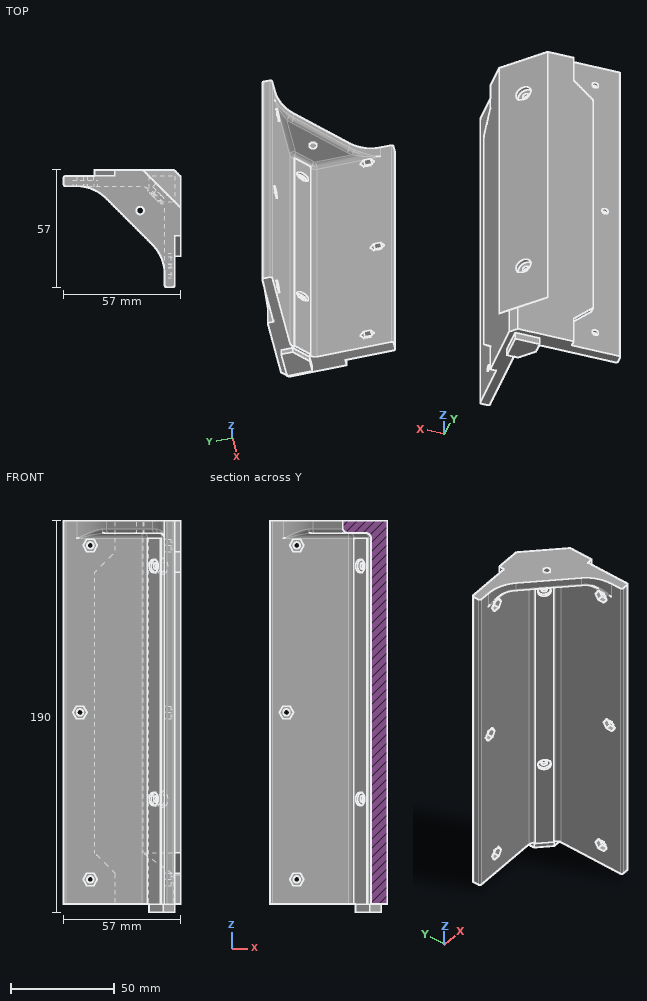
import cadquery as cq
import math


LEG_SPAN = 57.0
BODY_HEIGHT = 186.0
SPIGOT_HEIGHT = 4.0

PAD_THICKNESS = 3.0
LEG_THICKNESS = 5.0
LEG_INNER = PAD_THICKNESS + LEG_THICKNESS
LEG_END_RADIUS = 1.0
CORNER_CHAMFER = 3.4

PAD_WIDTH = 32.0
PAD_WIDENING = 10.0
PAD_END_GAP = 15.0

INNER_DIAGONAL = 25.4
INNER_RADIUS = 3.8
STRIP_DIAGONAL = 26.4
STRIP_WIDTH = 9.0

WEB_THICKNESS = 6.0
WEB_DIAGONAL = 50.2
WEB_END_RADIUS = 20.0
WEB_FILLET = 2.6
WEB_RIM_RADIUS = 2.0
WEB_HOLE_DIAMETER = 3.6
WEB_HOLE_OFFSET = 19.8

CHANNEL_DIAGONAL = 18.6
CHANNEL_FLOOR_TOP = 25.0

SPIGOT_OUTER = 3.0
SPIGOT_INNER = 15.6
SPIGOT_DIAGONAL = 24.3

SCREW_DIAMETER = 3.1
STRIP_SCREW_HEIGHTS = (51.0, 164.0)
STRIP_COUNTERBORE_DIAMETER = 6.4
STRIP_COUNTERBORE_DEPTH = 1.4
STRIP_SCREW_SEAT = 1.75
STRIP_OUTER_BORE_DIAMETER = 8.0
NUT_FLATS = 6.0
NUT_DEPTH = 3.0
LEG_SCREW_END_GAP = 12.0
LEG_SCREW_OFFSET = 44.0
LEG_SCREW_MIDDLE_OFFSET = 49.0

HALF_DIAGONAL = math.sqrt(0.5)
OUTWARD = cq.Vector(HALF_DIAGONAL, HALF_DIAGONAL, 0)
WEB_UNDERSIDE = BODY_HEIGHT - WEB_THICKNESS
TOLERANCE = 0.1
BEYOND = 10.0


def both_legs(shape):
    """Join a shape with its mirror image about the plane X = Y."""
    other_leg = shape.rotate((0, 0, 0), (0, 0, 1), 90).mirror("YZ")
    return shape.union(other_leg)


def prism(points, bottom, top):
    """Upright prism on a closed outline in X and Y."""
    return cq.Workplane("XY", origin=(0, 0, bottom)).polyline(points).close().extrude(top - bottom)


def corner_triangle(diagonal, bottom, top):
    """Right-angled prism filling the outer corner out to a diagonal face."""
    return prism([(0, 0), (-diagonal, 0), (0, -diagonal)], bottom, top)


def leg():
    """Plate of the leg along X, with its free end rounded."""
    middle = -(PAD_THICKNESS + LEG_THICKNESS / 2)
    plate = cq.Workplane("XY").box(LEG_SPAN, LEG_THICKNESS, BODY_HEIGHT, centered=(False, True, False))
    plate = plate.translate((-LEG_SPAN, middle, 0))
    return plate.edges("|Z and <X").fillet(LEG_END_RADIUS)


def pad():
    """Outer thickening of one leg, widened between two 45 degree shoulders."""
    wide = PAD_WIDTH + PAD_WIDENING
    low = PAD_END_GAP
    high = BODY_HEIGHT - PAD_END_GAP
    outline = [
        (0, 0),
        (-PAD_WIDTH, 0),
        (-PAD_WIDTH, low),
        (-wide, low + PAD_WIDENING),
        (-wide, high - PAD_WIDENING),
        (-PAD_WIDTH, high),
        (-PAD_WIDTH, BODY_HEIGHT),
        (0, BODY_HEIGHT),
    ]
    return cq.Workplane("XZ").polyline(outline).close().extrude(PAD_THICKNESS)


def web_arc_point(angle):
    """Point on the arc joining the web's diagonal edge to the leg along X, by angle turned from the leg."""
    arc_start = WEB_DIAGONAL - LEG_INNER + WEB_END_RADIUS * math.tan(math.radians(45 / 2))
    run = WEB_END_RADIUS * math.sin(math.radians(angle))
    rise = WEB_END_RADIUS * (1 - math.cos(math.radians(angle)))
    return (run - arc_start, -LEG_INNER - rise)


def web_block():
    """Solid corner block reaching down from the top, bounded by the web's curved edge."""
    depth = WEB_THICKNESS + WEB_FILLET
    start, middle, end = [web_arc_point(angle) for angle in (0, 45 / 2, 45)]
    outline = (
        cq.Workplane("XY", origin=(0, 0, BODY_HEIGHT - depth))
        .moveTo(-PAD_THICKNESS, -PAD_THICKNESS)
        .lineTo(start[0], -PAD_THICKNESS)
        .lineTo(*start)
        .threePointArc(middle, end)
        .lineTo(*reversed(end))
        .threePointArc(tuple(reversed(middle)), tuple(reversed(start)))
        .lineTo(-PAD_THICKNESS, start[0])
        .close()
    )
    return outline.extrude(depth)


def cavity():
    """Space between the legs below the web, rounded where it meets the web and the corner."""
    middle = -LEG_INNER - LEG_SPAN / 2
    space = cq.Workplane("XY").box(LEG_SPAN, LEG_SPAN, WEB_UNDERSIDE + BEYOND)
    space = space.translate((middle, middle, (WEB_UNDERSIDE - BEYOND) / 2))
    space = space.edges("|Z and >(1, 1, 0)").chamfer(INNER_DIAGONAL - 2 * LEG_INNER)
    space = space.faces(">(1, 1, 0)").edges("|Z").fillet(INNER_RADIUS)
    return space.faces(">Z").edges("not(<X or <Y)").fillet(WEB_FILLET)


def round_web_rim(body):
    """Round the lower edge of the web along its diagonal edge and both arcs."""
    rim = []
    for edge in body.edges().vals():
        middle = edge.Center()
        below_web = WEB_UNDERSIDE - WEB_FILLET + TOLERANCE < middle.z < WEB_UNDERSIDE + TOLERANCE
        on_web_edge = middle.x + middle.y < -WEB_DIAGONAL + TOLERANCE
        if below_web and on_web_edge:
            rim.append(edge)
    return body.newObject(rim).fillet(WEB_RIM_RADIUS)


def inner_strip():
    """Raised strip running up the diagonal face to the web's fillet, rooted in the wall behind it."""
    face = -STRIP_DIAGONAL / 2
    root = -(INNER_DIAGONAL + CHANNEL_DIAGONAL) / 4
    side = STRIP_WIDTH / 2 * HALF_DIAGONAL
    outline = [
        (face - side, face + side),
        (face + side, face - side),
        (root + side, root - side),
        (root - side, root + side),
    ]
    return prism(outline, 0, WEB_UNDERSIDE - WEB_FILLET)


def corner_channel():
    """Cut along the outer corner, with a flat back and a floor falling 45 degrees outward."""
    back = -CHANNEL_DIAGONAL * HALF_DIAGONAL
    top = BODY_HEIGHT + BEYOND
    outline = [
        (back, CHANNEL_FLOOR_TOP),
        (BEYOND, CHANNEL_FLOOR_TOP + back - BEYOND),
        (BEYOND, top),
        (back, top),
    ]
    diagonal_plane = cq.Plane((0, 0, 0), xDir=(1, 1, 0), normal=(1, -1, 0))
    return cq.Workplane(diagonal_plane).polyline(outline).close().extrude(LEG_SPAN, both=True)


def spigot():
    """Square peg below the corner with its inner corner cut off diagonally."""
    near = SPIGOT_DIAGONAL - SPIGOT_INNER
    outline = [
        (-SPIGOT_OUTER, -SPIGOT_OUTER),
        (-SPIGOT_INNER, -SPIGOT_OUTER),
        (-SPIGOT_INNER, -near),
        (-near, -SPIGOT_INNER),
        (-SPIGOT_OUTER, -SPIGOT_INNER),
    ]
    return prism(outline, -SPIGOT_HEIGHT, 0)


def strip_screw(height):
    """Diagonal screw hole from the strip to the channel, counterbored at both ends."""
    inner_start = cq.Vector(-STRIP_DIAGONAL / 2, -STRIP_DIAGONAL / 2, height)
    outer_start = inner_start + OUTWARD * (STRIP_COUNTERBORE_DEPTH + STRIP_SCREW_SEAT)
    wall = (STRIP_DIAGONAL - CHANNEL_DIAGONAL) * HALF_DIAGONAL
    bore = cq.Solid.makeCylinder(SCREW_DIAMETER / 2, wall, inner_start, OUTWARD)
    inner = cq.Solid.makeCylinder(
        STRIP_COUNTERBORE_DIAMETER / 2, STRIP_COUNTERBORE_DEPTH, inner_start, OUTWARD
    )
    outer = cq.Solid.makeCylinder(STRIP_OUTER_BORE_DIAMETER / 2, wall, outer_start, OUTWARD)
    return cq.Workplane(bore.fuse(inner, outer))


def leg_screw(offset, height):
    """Screw hole through a leg with a hexagonal nut pocket in its inner face."""
    inner_face = cq.Workplane("XZ", origin=(-offset, -LEG_INNER, height))
    bore = inner_face.circle(SCREW_DIAMETER / 2).extrude(-LEG_INNER)
    nut = inner_face.polygon(6, NUT_FLATS / math.cos(math.pi / 6)).extrude(-NUT_DEPTH)
    return bore.union(nut)


def web_hole():
    """Vertical hole through the web into the cavity."""
    hole = cq.Workplane("XY", origin=(-WEB_HOLE_OFFSET, -WEB_HOLE_OFFSET, WEB_UNDERSIDE - WEB_FILLET))
    return hole.circle(WEB_HOLE_DIAMETER / 2).extrude(WEB_THICKNESS + WEB_FILLET)


body = both_legs(leg().union(pad()))
body = body.union(corner_triangle(INNER_DIAGONAL + INNER_RADIUS, 0, BODY_HEIGHT))
body = body.union(web_block()).cut(cavity())
body = round_web_rim(body)
body = body.union(inner_strip())
body = body.edges("|Z and >(1, 1, 0)").chamfer(CORNER_CHAMFER)
body = body.cut(corner_channel()).union(spigot()).cut(web_hole())

for height in STRIP_SCREW_HEIGHTS:
    body = body.cut(strip_screw(height))

leg_screw_places = [
    (LEG_SCREW_OFFSET, LEG_SCREW_END_GAP),
    (LEG_SCREW_MIDDLE_OFFSET, BODY_HEIGHT / 2),
    (LEG_SCREW_OFFSET, BODY_HEIGHT - LEG_SCREW_END_GAP),
]
for offset, height in leg_screw_places:
    body = body.cut(both_legs(leg_screw(offset, height)))

result = body